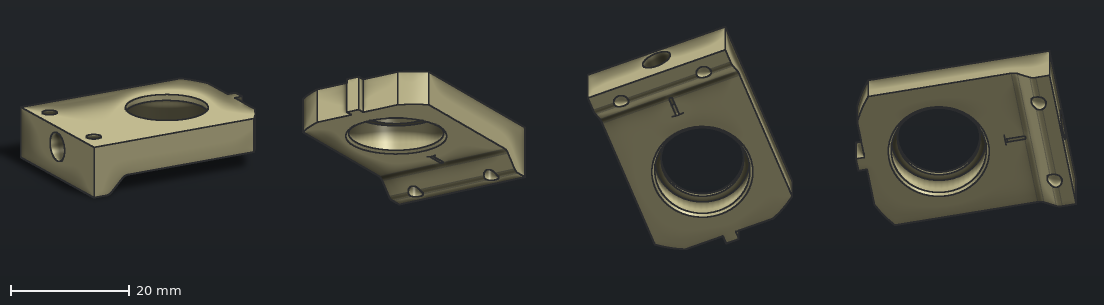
import cadquery as cq
import math

width = 25.0
length = 35.42
height = 9.0
plate_thickness = 6.0
foot_drop = height - plate_thickness

foot_length = 3.0
ramp_fillet = 1.5

tab_width = 2.35
tab_length = 1.5
plate_end = length - tab_length
corner_radius = 20.0
corner_center_y = 15.6

bore_y = 21.35
bore_diameter = 14.0
lip_thickness = 1.05
counterbore_diameter = 16.1
bore_chamfer = 0.5

screw_diameter = 2.5
screw_spacing = 15.02
screw_y = 2.8

end_hole_diameter = 5.0
end_hole_depth = 9.9
end_hole_z = height - 3.5


def make_body():
    """Side profile of plate and foot, with both ends of the ramp rounded."""
    ramp_end = foot_length + foot_drop
    profile = [
        (0, 0),
        (foot_length, 0),
        (ramp_end, foot_drop),
        (length, foot_drop),
        (length, height),
        (0, height),
    ]
    body = cq.Workplane("YZ").polyline(profile).close().extrude(width / 2, both=True)
    ramp_edges = cq.selectors.BoxSelector(
        (-width, foot_length - 0.35, -0.35), (width, ramp_end + 0.35, foot_drop + 0.35)
    )
    return body.edges("|X").edges(ramp_edges).fillet(ramp_fillet)


def make_outline():
    """Plan outline with arc corners and the end tab, as a full-height prism."""
    half_width = width / 2
    half_tab = tab_width / 2

    def arc_point(x):
        return (x, corner_center_y + math.sqrt(corner_radius**2 - x**2))

    end_half_width = math.sqrt(corner_radius**2 - (plate_end - corner_center_y) ** 2)
    arc_middle = (half_width + end_half_width) / 2
    return (
        cq.Workplane("XY")
        .moveTo(-half_width, 0)
        .lineTo(half_width, 0)
        .lineTo(*arc_point(half_width))
        .threePointArc(arc_point(arc_middle), (end_half_width, plate_end))
        .lineTo(half_tab, plate_end)
        .lineTo(half_tab, length)
        .lineTo(-half_tab, length)
        .lineTo(-half_tab, plate_end)
        .lineTo(-end_half_width, plate_end)
        .threePointArc(arc_point(-arc_middle), arc_point(-half_width))
        .close()
        .extrude(height)
    )


def make_bore():
    """Through bore widened below the lip and chamfered at the plate underside."""
    bore = cq.Workplane("XY").center(0, bore_y).circle(bore_diameter / 2).extrude(height)
    counterbore = (
        cq.Workplane("XY")
        .center(0, bore_y)
        .circle(counterbore_diameter / 2)
        .extrude(height - lip_thickness)
    )
    chamfer_cone = (
        cq.Workplane("XY", origin=(0, bore_y, foot_drop))
        .circle(counterbore_diameter / 2 + bore_chamfer)
        .workplane(offset=bore_chamfer)
        .circle(counterbore_diameter / 2)
        .loft()
    )
    return bore.union(counterbore).union(chamfer_cone)


def make_screw_holes():
    return (
        cq.Workplane("XY")
        .pushPoints([(side * screw_spacing / 2, screw_y) for side in (-1, 1)])
        .circle(screw_diameter / 2)
        .extrude(height)
    )


def make_end_hole():
    return (
        cq.Workplane("XZ")
        .center(0, end_hole_z)
        .circle(end_hole_diameter / 2)
        .extrude(-end_hole_depth)
    )


result = (
    make_body()
    .intersect(make_outline())
    .cut(make_bore())
    .cut(make_screw_holes())
    .cut(make_end_hole())
)